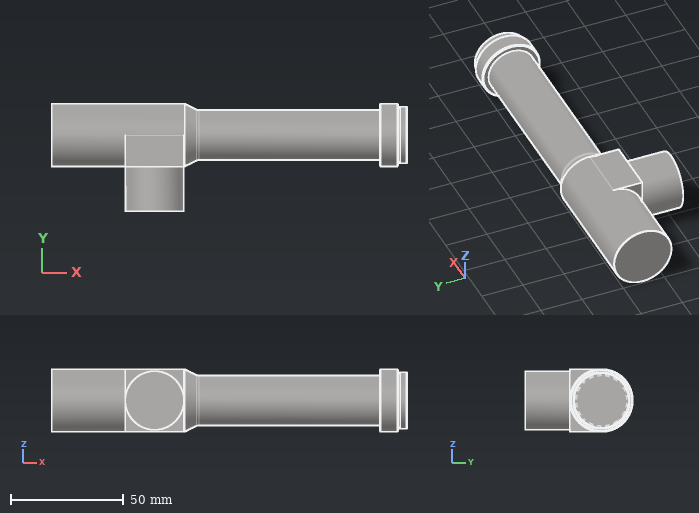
import cadquery as cq

total_length = 158.5
total_depth = 48.0
body_radius = 28.0 / 2
end_chamfer = 0.2
tube_radius = 22.3 / 2

block_start = 32.8
branch_diameter = 26.2
branch_center_x = block_start + branch_diameter / 2
branch_reach = total_depth - body_radius

shoulder_end = 65.0
shoulder_start = 59.3
shoulder_blend_radius = 2.2

collar_start = 146.1
collar_end = 154.4
collar_chamfer = 0.5
neck_radius = 11.7
disc_radius = 12.7
disc_start = 155.3
disc_chamfer = 0.5


def revolved_x(profile):
    """Revolve (x, radius) points, closed along the main axis, about X."""
    points = [(profile[0][0], 0)] + profile + [(profile[-1][0], 0)]
    return cq.Workplane("XY").polyline(points).close().revolve(360, (0, 0), (1, 0))


def make_body():
    """Body and tube joined by a cone with rounded ends."""
    body = revolved_x([
        (0, body_radius - end_chamfer),
        (end_chamfer, body_radius),
        (shoulder_start, body_radius),
        (shoulder_end, tube_radius),
        (collar_start, tube_radius),
    ])
    shoulder_edges = cq.selectors.BoxSelector(
        (shoulder_start - shoulder_blend_radius, -body_radius, -body_radius),
        (shoulder_end + shoulder_blend_radius, body_radius, body_radius),
        boundingbox=True,
    )
    return body.edges(shoulder_edges).fillet(shoulder_blend_radius)


def make_collar():
    """Chamfered collar, narrow flared neck and chamfered end disc."""
    return revolved_x([
        (collar_start, body_radius - collar_chamfer),
        (collar_start + collar_chamfer, body_radius),
        (collar_end - collar_chamfer, body_radius),
        (collar_end, body_radius - collar_chamfer),
        (collar_end, neck_radius),
        (disc_start, disc_radius),
        (total_length - disc_chamfer, disc_radius),
        (total_length, disc_radius - disc_chamfer),
    ])


def make_block():
    """Block filling the -Y half of the body where the branch leaves."""
    return cq.Workplane("XY").box(
        branch_diameter, body_radius, 2 * body_radius
    ).translate((branch_center_x, -body_radius / 2, 0))


def make_branch():
    """Round branch pointing toward -Y."""
    return (
        cq.Workplane("XZ")
        .center(branch_center_x, 0)
        .circle(branch_diameter / 2)
        .extrude(branch_reach)
    )


result = make_body().union(make_collar()).union(make_block()).union(make_branch())